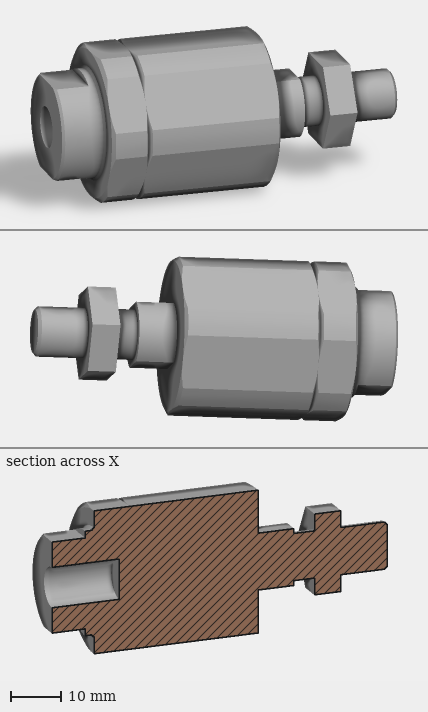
import cadquery as cq
import math

total_length = 71.5

boss_diameter = 22.0
boss_chamfer = 0.5
boss_flat_spacing = 19.15
boss_flat_length = 7.1
hole_diameter = 8.4
hole_depth = 14.3

neck_diameter = 23.0
neck_start = 8.45

hex_across_flats = 30.0
hex_corner_diameter = 32.0
hex_bevel_length = 0.6
lock_nut_start = 8.95
body_start = 16.6
body_end = 44.0

shoulder_diameter = 14.0
shoulder_flat_spacing = 12.0
shoulder_end = 51.55
stud_diameter = 10.0
stud_chamfer = 0.65
jam_nut_across_flats = 17.0
jam_nut_start = 55.9
jam_nut_end = 61.55


def plane_at(y):
    """Sketch plane at the given Y whose extrusions run toward +Y."""
    return cq.Workplane(cq.Plane(origin=(0, y, 0), xDir=(1, 0, 0), normal=(0, 1, 0)))


def cylinder(diameter, start, end):
    return plane_at(start).circle(diameter / 2).extrude(end - start)


def hexagon(across_flats, start, end):
    """Hexagonal prism with flats facing +Z and -Z."""
    across_corners = across_flats / math.cos(math.pi / 6)
    return plane_at(start).polygon(6, across_corners).extrude(end - start)


def slab(thickness, start, end, width):
    """Block centred on the axis; its top and bottom faces form wrench flats."""
    return plane_at(start).rect(width, thickness).extrude(end - start)


def rounded_hexagon(start, end):
    """Hexagon whose corners are turned down and bevelled at both ends."""
    bevel_depth = (hex_corner_diameter - hex_across_flats) / 2
    envelope = cylinder(hex_corner_diameter, start, end)
    envelope = envelope.faces("<Y or >Y").chamfer(hex_bevel_length, bevel_depth)
    return hexagon(hex_across_flats, start, end).intersect(envelope)


def front_boss():
    boss = cylinder(boss_diameter, 0, lock_nut_start).faces("<Y").chamfer(boss_chamfer)
    flats = slab(boss_flat_spacing, 0, boss_flat_length, boss_diameter)
    rear = cylinder(boss_diameter, boss_flat_length, lock_nut_start)
    return boss.intersect(flats.union(rear))


def neck():
    return (
        plane_at(neck_start)
        .circle(boss_diameter / 2)
        .workplane(offset=lock_nut_start - neck_start)
        .circle(neck_diameter / 2)
        .loft()
    )


def rear_stud():
    shoulder = cylinder(shoulder_diameter, body_end, shoulder_end)
    shoulder = shoulder.intersect(slab(shoulder_flat_spacing, body_end, shoulder_end, shoulder_diameter))
    stud = cylinder(stud_diameter, shoulder_end, total_length).faces(">Y").chamfer(stud_chamfer)
    jam_nut = hexagon(jam_nut_across_flats, jam_nut_start, jam_nut_end)
    return shoulder.union(stud).union(jam_nut)


result = (
    front_boss()
    .union(neck())
    .union(rounded_hexagon(lock_nut_start, body_start))
    .union(rounded_hexagon(body_start, body_end))
    .union(rear_stud())
    .cut(cylinder(hole_diameter, 0, hole_depth))
)